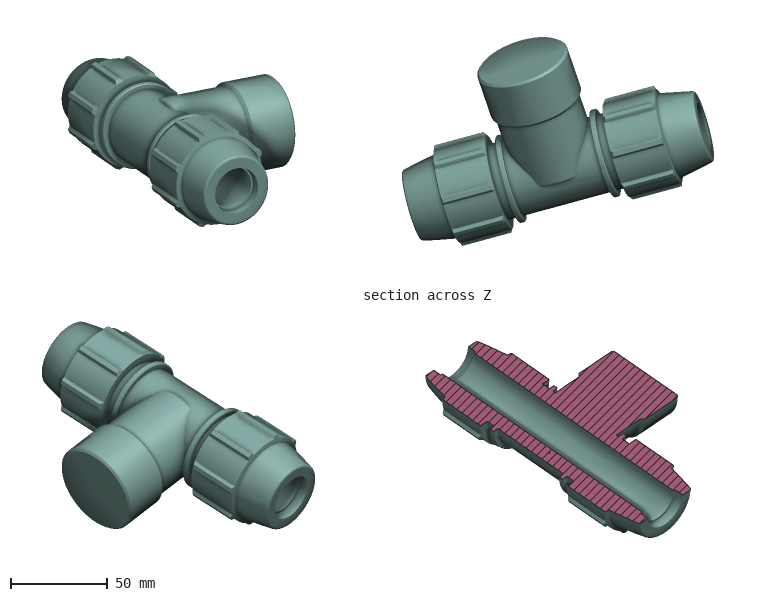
import cadquery as cq
import math

run_length = 158.0
half_run = run_length / 2
pipe_diameter = 40.5
pipe_overlap = 1.2
bore_diameter = 22.5
bore_mouth_diameter = 25.0
bore_mouth_depth = 5.2

nut_inner_x = 31.8
nut_outer_x = 60.55
nut_diameter = 50.3
nut_face_setback = 1.2
cone_base_diameter = 45.3
cone_tip_diameter = 37.7
cone_bulge = 0.2
tip_fillet = 1.3

rib_count = 8
rib_tip_radius = 27.0
rib_tip_width = 2.4
rib_base_width = 4.8
rib_flank_radius = 25.9
rib_flank_width = 3.7
rib_foot_radius = 25.05
rib_foot_fillet = 1.1
rib_root_radius = 24.5
rib_end_setback = 1.2

collar_diameter = 46.98
collar_inner_x = 24.0
collar_width = 3.0
collar_chamfer = 0.5

branch_diameter = 45.2
branch_end_y = 64.0
branch_root_fillet = 2.4
socket_diameter = 48.95
socket_start_y = 37.3
socket_mouth_chamfer = 1.1


def turned_about_x(outline):
    """Solid of revolution about the X axis from a closed half-profile."""
    return outline.close().revolve(360, (0, 0, 0), (1, 0, 0))


def make_pipe():
    """Plain pipe reaching a little way into both nuts."""
    return cq.Workplane("YZ").circle(pipe_diameter / 2).extrude(nut_inner_x + pipe_overlap, both=True)


def make_collar():
    """Thin ring around the pipe with both rims bevelled."""
    blank = cq.Workplane("YZ", origin=(collar_inner_x, 0, 0)).circle(collar_diameter / 2)
    collar = blank.extrude(collar_width)
    return collar.edges().chamfer(collar_chamfer)


def make_end_cone():
    """Slightly bulging taper from the nut face to the rounded end of the run."""
    base_radius = cone_base_diameter / 2
    tip_radius = cone_tip_diameter / 2
    middle = ((nut_outer_x + half_run) / 2, (base_radius + tip_radius) / 2 + cone_bulge)
    profile = (
        cq.Workplane("XY")
        .moveTo(nut_inner_x, 0)
        .lineTo(nut_inner_x, base_radius)
        .lineTo(nut_outer_x, base_radius)
        .threePointArc(middle, (half_run, tip_radius))
        .lineTo(half_run, 0)
    )
    return turned_about_x(profile).faces(">X").edges().fillet(tip_fillet)


def make_ribs():
    """Trapezoidal ribs along the nut, straddling the Y and Z axes."""
    pitch = 360 / rib_count
    section = cq.Workplane("YZ", origin=(nut_inner_x, 0, 0))
    bar = (
        section.moveTo(rib_root_radius, -rib_base_width / 2)
        .lineTo(rib_foot_radius, -rib_base_width / 2)
        .radiusArc((rib_flank_radius, -rib_flank_width / 2), rib_foot_fillet)
        .lineTo(rib_tip_radius, -rib_tip_width / 2)
        .lineTo(rib_tip_radius, rib_tip_width / 2)
        .lineTo(rib_flank_radius, rib_flank_width / 2)
        .radiusArc((rib_foot_radius, rib_base_width / 2), rib_foot_fillet)
        .lineTo(rib_root_radius, rib_base_width / 2)
        .close()
        .extrude(nut_outer_x - nut_inner_x)
    )
    all_ribs = cq.Workplane("XY")
    for index in range(rib_count):
        all_ribs = all_ribs.add(bar.rotate((0, 0, 0), (1, 0, 0), (index + 0.5) * pitch))
    return all_ribs.combine()


def make_nut():
    """Ribbed nut whose end faces are bevelled over the ribs."""
    barrel = cq.Workplane("YZ", origin=(nut_inner_x, 0, 0)).circle(nut_diameter / 2)
    blank = barrel.extrude(nut_outer_x - nut_inner_x).union(make_ribs())
    nut_radius = nut_diameter / 2
    rib_corner_radius = math.hypot(rib_tip_radius, rib_tip_width / 2)
    envelope = turned_about_x(
        cq.Workplane("XY")
        .moveTo(nut_inner_x, 0)
        .lineTo(nut_inner_x, nut_radius)
        .lineTo(nut_inner_x + rib_end_setback, rib_corner_radius)
        .lineTo(nut_outer_x - nut_face_setback, rib_corner_radius)
        .lineTo(nut_outer_x, cone_base_diameter / 2)
        .lineTo(nut_outer_x, 0)
    )
    return blank.intersect(envelope)


def make_branch():
    """Stem wider than the pipe, rounded at its root, ending in a thicker socket."""
    stem = cq.Workplane("XZ").circle(branch_diameter / 2).extrude(-branch_end_y)
    stem = stem.faces("<Y").edges().fillet(branch_root_fillet)
    shoulder = (socket_diameter - branch_diameter) / 2
    socket = cq.Workplane("XZ", origin=(0, socket_start_y, 0)).circle(socket_diameter / 2)
    socket = socket.extrude(socket_start_y - branch_end_y)
    socket = socket.faces("<Y").edges().chamfer(shoulder)
    socket = socket.faces(">Y").edges().chamfer(socket_mouth_chamfer)
    return stem.union(socket)


def make_bore():
    """Through bore with a wider, square-shouldered mouth at both ends."""
    bore_radius = bore_diameter / 2
    mouth_radius = bore_mouth_diameter / 2
    mouth_floor_x = half_run - bore_mouth_depth
    half_bore = turned_about_x(
        cq.Workplane("XY")
        .lineTo(0, bore_radius)
        .lineTo(mouth_floor_x, bore_radius)
        .lineTo(mouth_floor_x, mouth_radius)
        .lineTo(half_run, mouth_radius)
        .lineTo(half_run, 0)
    )
    return half_bore.union(half_bore.mirror("YZ"))


run_end = make_end_cone().union(make_nut()).union(make_collar())
body = make_pipe().union(run_end).union(run_end.mirror("YZ")).union(make_branch())
result = body.cut(make_bore()).clean()